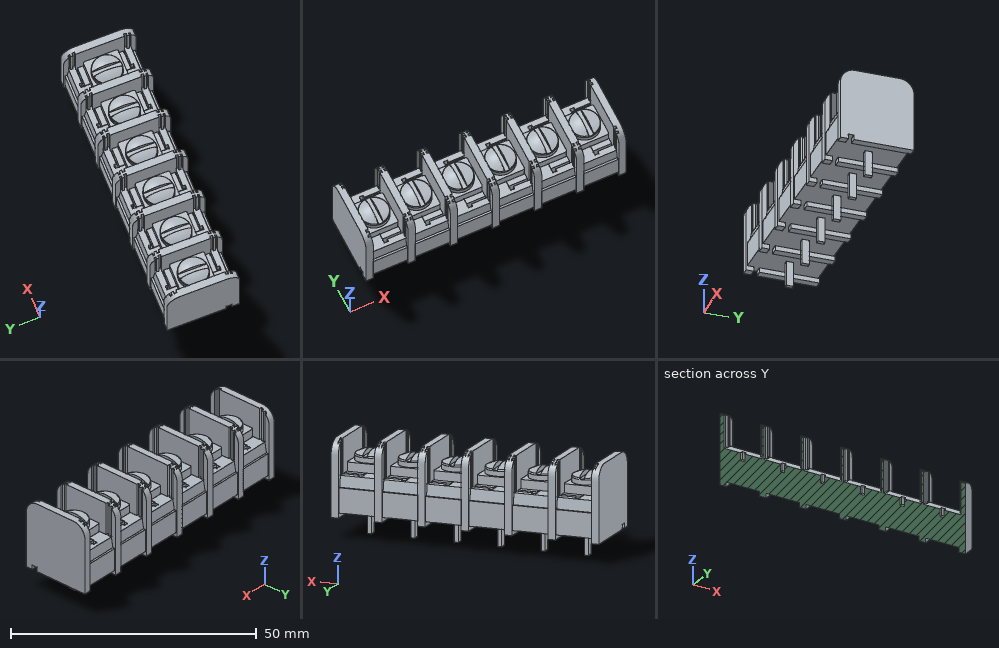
import cadquery as cq


terminal_count = 6
length = 58.65
wall_thickness = 1.65
pitch = (length - wall_thickness) / terminal_count
bay_width = pitch - wall_thickness

wall_depth = 15.9
wall_height = 16.35
wall_corner_radius = 3.1
groove_depth = 0.5
groove_spans = [(5.4, 5.9), (6.45, 6.8)]

body_depth = 15.35
body_bottom = 1.05
ledge_z = 6.4
ledge_width = 0.45
body_top = 8.8
body_top_depth = 2 * groove_spans[-1][1]

notch_y_min = -6.3
notch_y_max = -5.05

metal_thickness = 0.9
metal_left = -0.45
strip_right = 3.7
strip_depth = 10.1
strip_top = body_top + 0.2
pin_width = 1.6
pin_length = 4.6

pocket_depth = 1.75
pocket_width_y = 2 * groove_spans[0][0]
pocket_end_width_y = 2 * groove_spans[0][1]

plate_width = 7.5
plate_depth = 7.6
plate_top = 10.9
plate_corner_radius = 0.4

head_radius = 3.3
head_rim_z = 11.95
dome_radius = 3.15
dome_base_z = 12.3
dome_top_z = 13.25
slot_width = 1.05
slot_floor_z = 12.15
slot_offset = 0.05


def block(x_range, y_range, z_range):
    """Axis-aligned box spanning the given ranges."""
    (x0, x1), (y0, y1), (z0, z1) = x_range, y_range, z_range
    return cq.Workplane("XY").box(x1 - x0, y1 - y0, z1 - z0, centered=False).translate((x0, y0, z0))


def centred(size):
    """Range of the given size about zero."""
    return (-size / 2, size / 2)


def make_body():
    """Bar from end wall to end wall with a ledge and a sloped shoulder on both long sides."""
    half = body_depth / 2
    half_top = body_top_depth / 2
    return (
        cq.Workplane("YZ")
        .moveTo(-half, body_bottom)
        .lineTo(half, body_bottom)
        .lineTo(half, ledge_z)
        .lineTo(half - ledge_width, ledge_z)
        .lineTo(half_top, body_top)
        .lineTo(-half_top, body_top)
        .lineTo(-half + ledge_width, ledge_z)
        .lineTo(-half, ledge_z)
        .close()
        .extrude((length - wall_thickness) / 2, both=True)
    )


def make_wall(x):
    """Wall with rounded top corners and a notch in its underside, centred at x."""
    thickness = (x - wall_thickness / 2, x + wall_thickness / 2)
    wall = block(thickness, centred(wall_depth), (0, wall_height))
    wall = wall.edges("|X and >Z").fillet(wall_corner_radius)
    return wall.cut(block(thickness, (notch_y_min, notch_y_max), (0, body_bottom)))


def make_groove_cutter(x):
    """Bars that cut the vertical wall grooves on both sides of the bay centred at x."""
    reach = bay_width / 2 + groove_depth
    height = (body_top, wall_height)
    cutter = cq.Workplane("XY")
    for near, far in groove_spans:
        for y_range in ((near, far), (-far, -near)):
            cutter = cutter.add(block((x - reach, x + reach), y_range, height))
    return cutter.combine()


def make_pocket(x):
    """Recess for the strip: open to the right wall, wider at the pin end."""
    left = x + metal_left
    height = (body_top - pocket_depth, body_top)
    main = block((left, x + bay_width / 2), centred(pocket_width_y), height)
    end = block((left, left + metal_thickness), centred(pocket_end_width_y), height)
    return main.union(end)


def make_metal(x):
    """Terminal strip in the pocket and the solder pin below the body."""
    left = x + metal_left
    strip = block((left, x + strip_right), centred(strip_depth), (body_top - pocket_depth, strip_top))
    pin = block((left, left + metal_thickness), centred(pin_width), (-pin_length, strip_top))
    return strip.union(pin)


def make_clamp(x):
    """Clamp plate and domed, slotted screw head."""
    plate = block(centred(plate_width), centred(plate_depth), (strip_top, plate_top))
    plate = plate.edges("|Z").fillet(plate_corner_radius)

    dome_height = dome_top_z - dome_base_z
    sphere_radius = (dome_radius**2 + dome_height**2) / (2 * dome_height)
    mid_radius = dome_radius / 2
    mid_z = dome_top_z - sphere_radius + (sphere_radius**2 - mid_radius**2) ** 0.5
    head = (
        cq.Workplane("XZ")
        .moveTo(0, plate_top)
        .lineTo(head_radius, plate_top)
        .lineTo(head_radius, head_rim_z)
        .lineTo(dome_radius, dome_base_z)
        .threePointArc((mid_radius, mid_z), (0, dome_top_z))
        .close()
        .revolve(360, (0, 0), (0, 1))
    )
    slot = block(centred(slot_width), centred(2 * head_radius), (slot_floor_z, dome_top_z))
    head = head.cut(slot.translate((slot_offset, 0, 0)))
    return plate.union(head).translate((x, 0, 0))


result = make_body()
for i in range(terminal_count + 1):
    result = result.union(make_wall((i - terminal_count / 2) * pitch))

for i in range(terminal_count):
    bay_x = (i + 0.5 - terminal_count / 2) * pitch
    result = result.cut(make_groove_cutter(bay_x)).cut(make_pocket(bay_x))
    result = result.union(make_metal(bay_x)).union(make_clamp(bay_x))